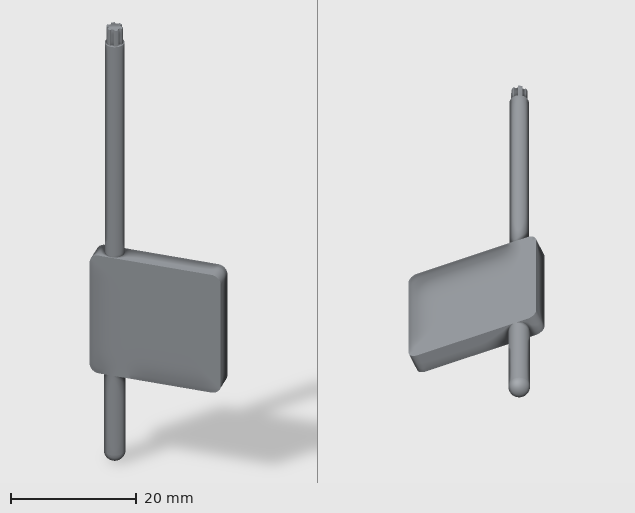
import cadquery as cq
import math

total_length = 80.75
handle_side = 22.0
handle_thickness = 3.5
handle_corner_radius = 1.5
handle_bottom = 16.6

shaft_inset = 3.6
shaft_x = shaft_inset - handle_side / 2
rod_diameter = 3.15
pin_diameter = handle_thickness
dome_radius = pin_diameter / 2

tip_height = 2.9
tip_radius = 1.33
flute_floor_radius = 1.0
lobe_count = 6
lobe_angle = 360 / lobe_count / 2

handle_middle = handle_bottom + handle_side / 2
tip_bottom = total_length - tip_height


def polar(radius, degrees):
    angle = math.radians(degrees)
    return (radius * math.cos(angle), radius * math.sin(angle))


def make_handle():
    block = cq.Workplane("XY").box(handle_side, handle_thickness, handle_side)
    return block.edges("|Y").fillet(handle_corner_radius).translate((0, 0, handle_middle))


def make_pin():
    """Lower pin ending in a hemisphere, with its top inside the handle."""
    profile = (
        cq.Workplane("XZ")
        .moveTo(0, 0)
        .threePointArc(
            (dome_radius * math.sin(math.pi / 4), dome_radius * (1 - math.cos(math.pi / 4))),
            (dome_radius, dome_radius),
        )
        .lineTo(dome_radius, handle_bottom + handle_corner_radius)
        .lineTo(0, handle_bottom + handle_corner_radius)
        .close()
    )
    return profile.revolve(360, (0, 0, 0), (0, 1, 0)).translate((shaft_x, 0, 0))


def make_rod():
    """Upper rod, starting at the middle of the handle."""
    start = cq.Workplane("XY", origin=(shaft_x, 0, handle_middle))
    return start.circle(rod_diameter / 2).extrude(tip_bottom - handle_middle)


def make_tip():
    """Prism of rounded lobes separated by concave flutes; one lobe faces +X."""
    outline = cq.Workplane("XY", origin=(shaft_x, 0, tip_bottom))
    outline = outline.moveTo(*polar(tip_radius, -lobe_angle / 2))
    for lobe in range(lobe_count):
        lobe_middle = lobe * 2 * lobe_angle
        flute_middle = lobe_middle + lobe_angle
        outline = outline.threePointArc(
            polar(tip_radius, lobe_middle), polar(tip_radius, lobe_middle + lobe_angle / 2)
        )
        outline = outline.threePointArc(
            polar(flute_floor_radius, flute_middle),
            polar(tip_radius, flute_middle + lobe_angle / 2),
        )
    return outline.close().extrude(tip_height)


result = make_handle().union(make_pin()).union(make_rod()).union(make_tip())